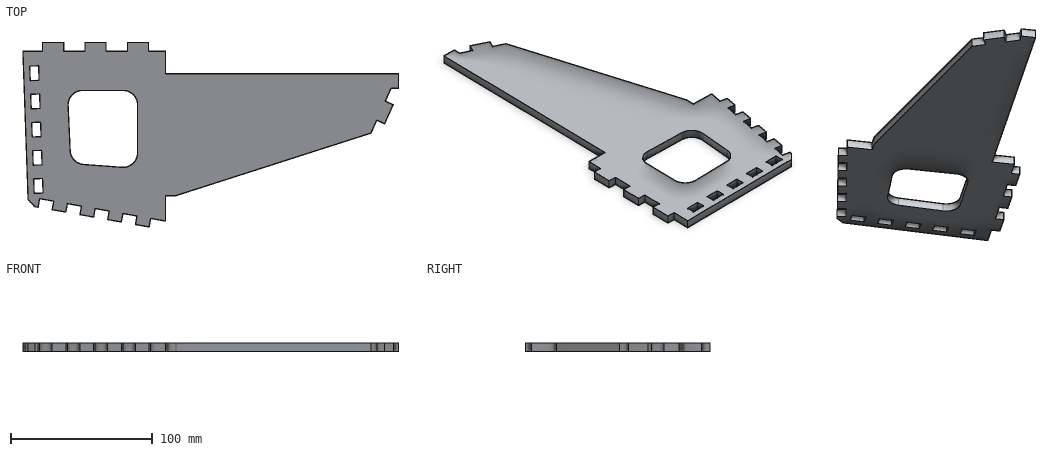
import cadquery as cq
import math

thickness = 6.0
tab_height = 6.0

head_width = 100.8
left_edge_tilt = 2.0
left_edge_drop = 104.8
corner_cut_end = (8.8, -110.0)

top_tab_start = 13.8
top_tab_width = 15.0
top_tab_pitch = 30.0
top_tab_count = 3

bottom_start = (12.0, -104.3)
bottom_slope = -10.1
bottom_pitch = 20.0
bottom_notch_width = bottom_pitch / 2
bottom_tab_count = 4

total_length = 265.3
arm_top = -16.0
arm_root_bottom = -102.1
arm_taper_start = 108.0

nose_height = 10.3
nose_step = 5.3
tip_direction = -114.2
tip_edge_length = 34.8
tip_tab_width = 14.9
tip_tab_start = (tip_edge_length - tip_tab_width) / 2

slot_size = (6.0, 10.0)
first_slot_center = (8.2, -15.7)
slot_pitch = 20.0
slot_count = 5

window_corners = [(31.5, -27.9), (81.0, -27.9), (81.0, -82.8), (34.0, -79.3)]
window_radius = 10.0


def along_edge(start, direction, distance, outward=0.0):
    """Point at a distance along an edge, offset to the left of its direction."""
    angle = math.radians(direction)
    x = start[0] + distance * math.cos(angle) - outward * math.sin(angle)
    y = start[1] + distance * math.sin(angle) + outward * math.cos(angle)
    return (x, y)


def tab_points(start, direction, distance, width):
    """Four corners of a tab standing on the left of an edge."""
    end = distance + width
    return [
        along_edge(start, direction, distance),
        along_edge(start, direction, distance, tab_height),
        along_edge(start, direction, end, tab_height),
        along_edge(start, direction, end),
    ]


def top_edge():
    """Head top from right to left."""
    points = [(head_width, 0)]
    for index in reversed(range(top_tab_count)):
        left = top_tab_start + index * top_tab_pitch
        right = left + top_tab_width
        points += [(right, 0), (right, tab_height), (left, tab_height), (left, 0)]
    return points + [(0, 0)]


def bottom_edge():
    """Sloping toothed edge from left to right."""
    points = [
        along_edge(bottom_start, bottom_slope, 0, -tab_height),
        bottom_start,
    ]
    for index in range(bottom_tab_count):
        notch_end = index * bottom_pitch + bottom_notch_width
        next_notch = (index + 1) * bottom_pitch
        points += [
            along_edge(bottom_start, bottom_slope, notch_end),
            along_edge(bottom_start, bottom_slope, notch_end, -tab_height),
            along_edge(bottom_start, bottom_slope, next_notch, -tab_height),
            along_edge(bottom_start, bottom_slope, next_notch),
        ]
    run = head_width - bottom_start[0]
    end_drop = run * math.tan(math.radians(bottom_slope))
    return points + [(head_width, bottom_start[1] + end_drop)]


def arm_edge():
    """Arm from its lower root, around the tip and back to its upper root."""
    nose_bottom = arm_top - nose_height
    slant_start = (total_length - nose_step, nose_bottom)
    tip_tab = tab_points(slant_start, tip_direction, tip_tab_start, tip_tab_width)
    return [
        (head_width, arm_root_bottom),
        (arm_taper_start, arm_root_bottom),
        along_edge(slant_start, tip_direction, tip_edge_length),
        *reversed(tip_tab),
        slant_start,
        (total_length, nose_bottom),
        (total_length, arm_top),
        (head_width, arm_top),
    ]


def plate():
    left_edge_shift = left_edge_drop * math.tan(math.radians(left_edge_tilt))
    corner = [(left_edge_shift, -left_edge_drop), corner_cut_end]
    outline = top_edge() + corner + bottom_edge() + arm_edge()
    return cq.Workplane("XY").polyline(outline).close().extrude(thickness)


def window():
    block = cq.Workplane("XY").polyline(window_corners).close().extrude(thickness)
    return block.edges("|Z").fillet(window_radius)


def slots():
    row_direction = left_edge_tilt - 90
    centers = [
        along_edge(first_slot_center, row_direction, index * slot_pitch)
        for index in range(slot_count)
    ]
    sketch = cq.Sketch().rect(*slot_size, angle=left_edge_tilt)
    return cq.Workplane("XY").pushPoints(centers).placeSketch(sketch).extrude(thickness)


result = plate().cut(window()).cut(slots())